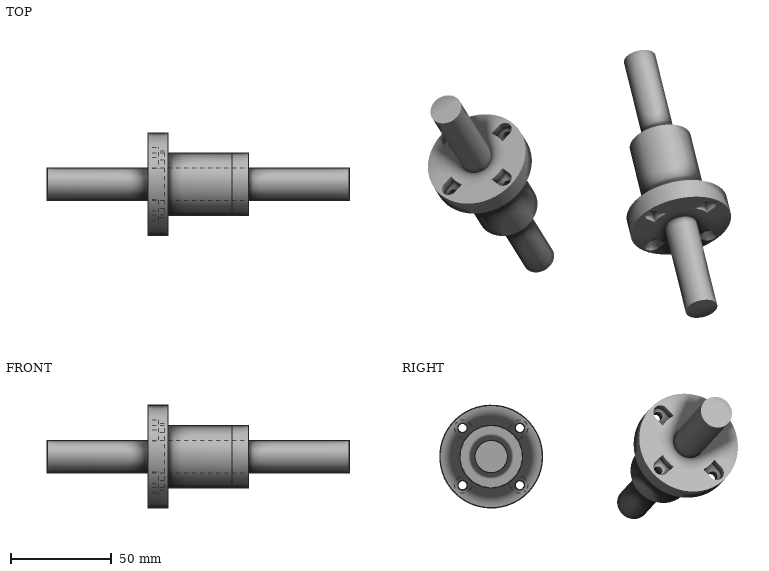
import cadquery as cq

SHAFT_LENGTH = 150.0
SHAFT_DIAMETER = 16.0
NUT_START = 50.0
NUT_LENGTH = 50.1
BARREL_DIAMETER = 31.0
FLANGE_DIAMETER = 51.0
FLANGE_THICKNESS = 10.0

SEAL_LENGTH = 8.2
FRONT_SEAL_DIAMETER = 30.8
REAR_SEAL_DIAMETER = BARREL_DIAMETER

SCREW_COUNT = 4
SCREW_FIRST_ANGLE = 45.0
SCREW_CIRCLE_RADIUS = 20.1
SCREW_HOLE_DIAMETER = 4.5
POCKET_WIDTH = 8.0
POCKET_DEPTH = 5.4

NUT_END = NUT_START + NUT_LENGTH
REAR_SEAL_START = NUT_END - SEAL_LENGTH
FRONT_SEAL_END = NUT_START + SEAL_LENGTH


def cylinder(diameter, start, end):
    """Solid cylinder along X between two stations."""
    return cq.Workplane("YZ").workplane(offset=start).circle(diameter / 2).extrude(end - start)


def screw_pocket():
    """Round-ended pocket with its through hole, for a screw on the +Y side."""
    hole = cylinder(SCREW_HOLE_DIAMETER, NUT_START, NUT_START + FLANGE_THICKNESS)
    round_end = cylinder(POCKET_WIDTH, NUT_START, NUT_START + POCKET_DEPTH)
    slot = cq.Workplane("XY").box(
        POCKET_DEPTH, SCREW_CIRCLE_RADIUS, POCKET_WIDTH, centered=(False, False, True)
    ).translate((NUT_START, -SCREW_CIRCLE_RADIUS, 0))
    return hole.union(round_end).union(slot).translate((0, SCREW_CIRCLE_RADIUS, 0))


def make_nut():
    """Flanged barrel with the shaft bore, front seal recess and screw pockets."""
    nut = cylinder(BARREL_DIAMETER, NUT_START, REAR_SEAL_START)
    nut = nut.union(cylinder(FLANGE_DIAMETER, NUT_START, NUT_START + FLANGE_THICKNESS))
    nut = nut.cut(cylinder(SHAFT_DIAMETER, NUT_START, REAR_SEAL_START))
    nut = nut.cut(cylinder(FRONT_SEAL_DIAMETER, NUT_START, FRONT_SEAL_END))
    pocket = screw_pocket()
    for index in range(SCREW_COUNT):
        angle = SCREW_FIRST_ANGLE + index * 360 / SCREW_COUNT
        nut = nut.cut(pocket.rotate((0, 0, 0), (1, 0, 0), angle))
    return nut


def make_seal(diameter, start):
    """Ring that fills the space around the shaft at one end of the nut."""
    end = start + SEAL_LENGTH
    return cylinder(diameter, start, end).cut(cylinder(SHAFT_DIAMETER, start, end))


shaft = cylinder(SHAFT_DIAMETER, 0, SHAFT_LENGTH)
nut = make_nut()
front_seal = make_seal(FRONT_SEAL_DIAMETER, NUT_START)
rear_seal = make_seal(REAR_SEAL_DIAMETER, REAR_SEAL_START)

result = cq.Compound.makeCompound([shaft.val(), nut.val(), front_seal.val(), rear_seal.val()])